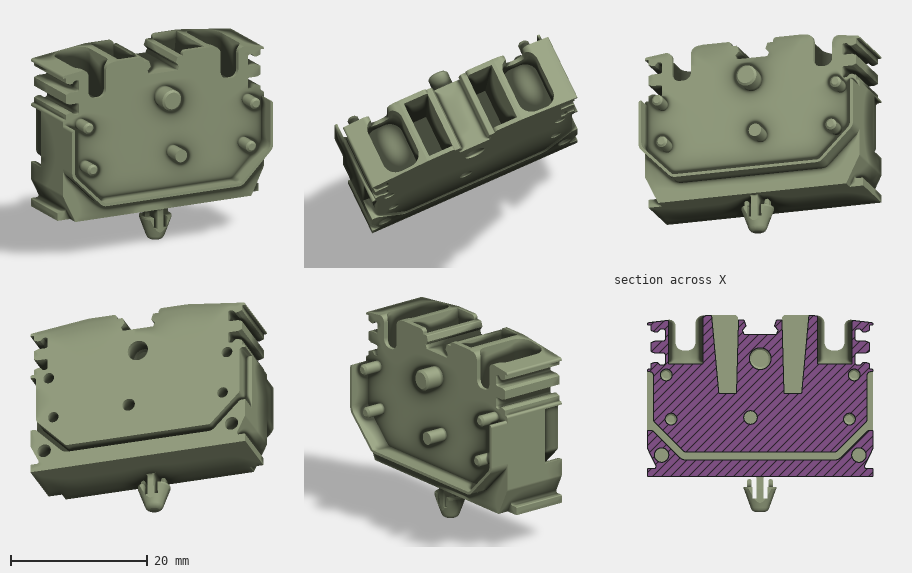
import cadquery as cq
import math

half_length = 16.6
housing_width = 10.23
overall_width = 13.2
housing_top = 23.7
mating_reach = overall_width - housing_width
socket_depth = 3.2

taper_start_y = 7.65
end_height = 22.6
lip_round = 0.33
taper_slope = (housing_top - end_height) / (half_length - taper_start_y)

rib_y = 16.07
rib_tip_y = 15.47
groove_floor_y = 13.95
hook_inner_y = 14.65
hook_outer_y = 15.07
ribs_mid_z = 19.02
rib_half = 0.65
rib_root_half = 0.9
hook_face = 2.42
hook_tip = 2.2
hook_root = 2.62
lip_gap = 3.2
groove_round = 0.3

slot_floor_z = 20.9
slot_floor_y = 2.35
slot_undercut_y = 2.6
slot_undercut_z = 21.5
slot_throat_y = 2.05
slot_throat_z = 22.1
slot_ledge_z = 23.0
slot_top_y = 3.22
slot_top_round = 0.53
slot_ledge_round = 0.15

waist_z = 4.2
waist_round = 0.65
flank_slope = 0.49
flange_height = 1.23
flange_root_round = 0.3
flange_edge_round = 0.13
beyond_flange_top = 2.0
flange_width = 8.5

rim_top = 15.07
rim_bottom = 2.72
rim_corner_z = 7.85
rim_thickness = 0.43
rim_edge_round = 0.4
rim_inner_side_round = 1.65
rim_inner_bottom_round = 0.65
rim_round = 1.45
channel_top = 15.37
channel_inner_y = 15.7
channel_inner_bottom = 3.6
channel_inner_corner_z = 8.17
channel_outer_bottom = 2.5
channel_end_z = 6.85
channel_end_y = 15.8
channel_round = 0.65
channel_end_round = 0.45

centre_peg = (0.0, 17.33, 1.55, 0.3)
upper_peg = (13.78, 14.95, 0.83, 0.3)
lower_peg = (13.08, 8.45, 0.83, 0.3)
plain_peg = (1.43, 8.7, 0.95, 0.0)
base_hole_y = 14.48
base_hole_z = 3.2
base_hole_radius = 1.03

funnel_y = 10.92
funnel_size_y = 5.48
funnel_x = (0.4, 9.65)
funnel_floor_z = 16.6
funnel_round = 2.0
notch_half = 1.45
notch_floor_z = 18.5
notch_floor_round = 1.2
notch_mouth_outer_round = 0.93
notch_mouth_inner_round = 1.13

pocket_x = (0.63, 9.45)
pocket_outer_y = 7.1
pocket_floor_outer_y = 6.05
pocket_floor_inner_y = 3.52
pocket_floor_z = 12.3

foot_x = 7.65
foot_width = 3.45
foot_tip_width = 3.15
foot_length = 5.18
stem_half = 0.5
stem_root_round = 0.3
barb_top_z = -1.53
barb_rim_z = -1.8
barb_radius = 2.4
barb_low_z = -4.6
barb_low_radius = 1.35
barb_tip_radius = 0.75
barb_tip_round = 0.83
arm_gap_outer_y = 1.1
arm_gap_floor_z = -3.25
finger_y = 1.55
finger_thickness = 0.65
finger_round = 0.315
finger_width = 0.93
finger_top_z = -0.35

SIDES = (1, -1)
over = 1.65


def rounded_corner(before, corner, after):
    """Start, middle and end of the arc that rounds a (y, z, radius) corner."""
    y, z, radius = corner
    to_before = math.hypot(before[0] - y, before[1] - z)
    to_after = math.hypot(after[0] - y, after[1] - z)
    ay, az = (before[0] - y) / to_before, (before[1] - z) / to_before
    by, bz = (after[0] - y) / to_after, (after[1] - z) / to_after
    half_angle = math.acos(ay * by + az * bz) / 2
    setback = radius / math.tan(half_angle)
    bisector = math.hypot(ay + by, az + bz)
    depth = (radius / math.sin(half_angle) - radius) / bisector
    start = (y + ay * setback, z + az * setback)
    middle = (y + (ay + by) * depth, z + (az + bz) * depth)
    end = (y + by * setback, z + bz * setback)
    return start, middle, end


def prism(points, x_start, x_end):
    """Extrude a YZ outline along X; a third number in a point is its corner radius."""
    outline = cq.Workplane("YZ", origin=(x_start, 0, 0))
    for index, point in enumerate(points):
        if len(point) == 3:
            after = points[(index + 1) % len(points)]
            start, middle, end = rounded_corner(points[index - 1], point, after)
            outline = outline.lineTo(*start) if index else outline.moveTo(*start)
            outline = outline.threePointArc(middle, end)
        else:
            outline = outline.lineTo(*point) if index else outline.moveTo(*point)
    return outline.close().extrude(x_end - x_start)


def mirrored(half):
    """Complete an outline given for Y > 0 with its mirror image."""
    return half + [(-point[0], *point[1:]) for point in reversed(half)]


def box(x_range, y_range, z_range):
    sizes = [end - start for start, end in (x_range, y_range, z_range)]
    corner = (x_range[0], y_range[0], z_range[0])
    return cq.Workplane("XY").box(*sizes, centered=False).translate(corner)


def top_height(y):
    """Height of the tapered part of the top face."""
    return housing_top - (abs(y) - taper_start_y) * taper_slope


def flank_y(z):
    """Half length of the block on the slope below the waist."""
    return half_length - (waist_z - z) * flank_slope


def ribbed_end():
    """Half outline of one ribbed end, from the upper lip down to the lower lip."""
    hook = [
        (rib_y, lip_gap),
        (rib_y, hook_face),
        (rib_tip_y, hook_tip),
        (hook_outer_y, hook_tip),
        (hook_inner_y, hook_root),
        (groove_floor_y, hook_root, groove_round),
        (groove_floor_y, rib_root_half, groove_round),
        (rib_tip_y, rib_root_half),
        (rib_y, rib_half),
    ]
    mirrored_hook = [(y, -z, *rounding) for y, z, *rounding in reversed(hook)]
    upper_lip = [(half_length, lip_gap)]
    lower_lip = [(half_length, -lip_gap, lip_round)]
    outline = upper_lip + hook + mirrored_hook + lower_lip
    return [(y, ribs_mid_z + z, *rounding) for y, z, *rounding in outline]


def main_block():
    slot_and_top = [
        (slot_floor_y, slot_floor_z),
        (slot_undercut_y, slot_undercut_z),
        (slot_throat_y, slot_throat_z),
        (slot_floor_y, slot_ledge_z, slot_ledge_round),
        (slot_top_y, slot_ledge_z),
        (slot_top_y, housing_top, slot_top_round),
        (taper_start_y, housing_top),
        (half_length, end_height, lip_round),
    ]
    base = [
        (half_length, waist_z, waist_round),
        (flank_y(flange_height), flange_height, flange_root_round),
        (half_length, flange_height, flange_edge_round),
        (half_length, 0),
    ]
    block = prism(mirrored(slot_and_top + ribbed_end() + base), 0, housing_width)
    for side in SIDES:
        beyond_flange = [
            (side * flank_y(0), 0),
            (side * flank_y(beyond_flange_top), beyond_flange_top),
            (side * (half_length + over), beyond_flange_top),
            (side * (half_length + over), -over),
            (side * flank_y(0), -over),
        ]
        block = block.cut(prism(beyond_flange, flange_width, housing_width))
    return block


def rim_outline(inset, top, side_round, bottom_round):
    """U-shaped wall outline, moved inwards by the inset."""
    corner_shift = inset * math.tan(math.pi / 8)
    bottom_y = half_length - (rim_corner_z - rim_bottom)
    return mirrored([
        (half_length - inset, top),
        (half_length - inset, rim_corner_z + corner_shift, side_round),
        (bottom_y - corner_shift, rim_bottom + inset, bottom_round),
    ])


def mating_rim():
    outer = prism(rim_outline(0, rim_top, rim_round, rim_round), housing_width, overall_width)
    outer = outer.edges("|X and >Z").fillet(rim_edge_round)
    hollow = rim_outline(rim_thickness, rim_top + over, rim_inner_side_round, rim_inner_bottom_round)
    return outer.cut(prism(hollow, housing_width, overall_width))


def rim_channel():
    """U-shaped channel on the -X side, open at both ends of the housing."""
    inner_y = channel_inner_y - (channel_inner_corner_z - channel_inner_bottom)
    outer_y = channel_end_y - (channel_end_z - channel_outer_bottom)
    return prism(mirrored([
        (inner_y, channel_inner_bottom, channel_round),
        (channel_inner_y, channel_inner_corner_z, channel_round),
        (channel_inner_y, channel_top, channel_end_round),
        (half_length + over, channel_top),
        (half_length + over, channel_end_z),
        (channel_end_y, channel_end_z, channel_round),
        (outer_y, channel_outer_bottom, rim_round),
    ]), 0, socket_depth)


def peg(y, z, radius, chamfer, x_start, length):
    """Round peg along X, optionally with a chamfered tip; also the shape of its socket."""
    shape = cq.Workplane("YZ", origin=(x_start, y, z)).circle(radius).extrude(length)
    if chamfer:
        shape = shape.faces(">X").edges().chamfer(chamfer)
    return shape


def peg_places():
    places = [centre_peg, plain_peg]
    for y, z, radius, chamfer in (upper_peg, lower_peg):
        places += [(side * y, z, radius, chamfer) for side in SIDES]
    return places


def wire_funnel(side):
    x_length = funnel_x[1] - funnel_x[0]
    shape = (
        cq.Workplane("XY", origin=(sum(funnel_x) / 2, side * funnel_y, funnel_floor_z))
        .rect(x_length, funnel_size_y)
        .extrude(housing_top - funnel_floor_z + over)
        .edges("|Z").fillet(funnel_round)
    )
    inner, outer = funnel_y - notch_half, funnel_y + notch_half
    mouth_inner, mouth_outer = funnel_y - funnel_size_y / 2, funnel_y + funnel_size_y / 2
    notch = [
        (mouth_outer, housing_top + over),
        (mouth_outer, top_height(mouth_outer)),
        (outer, top_height(outer), notch_mouth_outer_round),
        (outer, notch_floor_z, notch_floor_round),
        (inner, notch_floor_z, notch_floor_round),
        (inner, top_height(inner), notch_mouth_inner_round),
        (mouth_inner, top_height(mouth_inner)),
        (mouth_inner, housing_top + over),
    ]
    notch = [(side * point[0], *point[1:]) for point in notch]
    return shape.union(prism(notch, funnel_x[1] - funnel_round, housing_width))


def test_pocket(side):
    """Tapered pocket whose inner wall is level with the step of the label slot."""
    outline = [
        (side * slot_top_y, slot_ledge_z),
        (side * slot_top_y, housing_top),
        (side * pocket_outer_y, housing_top),
        (side * pocket_floor_outer_y, pocket_floor_z),
        (side * pocket_floor_inner_y, pocket_floor_z),
    ]
    return prism(outline, *pocket_x)


def make_housing():
    housing = main_block().cut(rim_channel()).union(mating_rim())
    for y, z, radius, chamfer in peg_places():
        housing = housing.cut(peg(y, z, radius, chamfer, 0, socket_depth))
        housing = housing.union(peg(y, z, radius, chamfer, housing_width, mating_reach))
    for side in SIDES:
        housing = housing.cut(peg(side * base_hole_y, base_hole_z, base_hole_radius, 0, 0, socket_depth))
        housing = housing.cut(wire_funnel(side))
        housing = housing.cut(test_pocket(side))
    return housing


def foot_sides():
    """Slab that trims the foot along X: straight at the top, narrowing towards the tip."""
    half_outline = [
        (foot_width / 2, 0),
        (foot_width / 2, barb_rim_z),
        (foot_tip_width / 2, -foot_length),
    ]
    return (
        cq.Workplane("XZ", origin=(foot_x, 0, 0))
        .polyline(mirrored(half_outline))
        .close()
        .extrude(barb_radius, both=True)
    )


def make_foot():
    x_range = (foot_x - foot_width / 2, foot_x + foot_width / 2)
    barb = (
        cq.Workplane("XZ", origin=(foot_x, 0, 0))
        .moveTo(0, barb_top_z)
        .lineTo(barb_radius, barb_top_z)
        .lineTo(barb_radius, barb_rim_z)
        .lineTo(barb_low_radius, barb_low_z)
        .radiusArc((barb_tip_radius, -foot_length), barb_tip_round)
        .lineTo(0, -foot_length)
        .close()
        .revolve(360, (0, 0, 0), (0, 1, 0))
    )
    foot = barb.cut(box(x_range, (-arm_gap_outer_y, arm_gap_outer_y), (arm_gap_floor_z, 0)))
    stem = [
        (finger_y, 0),
        (stem_half, 0, stem_root_round),
        (stem_half, arm_gap_floor_z),
    ]
    foot = foot.union(prism(mirrored(stem), *x_range)).intersect(foot_sides())
    for side in SIDES:
        centre = side * finger_y
        finger = box((foot_x - finger_width / 2, foot_x + finger_width / 2),
                     (centre - finger_thickness / 2, centre + finger_thickness / 2),
                     (barb_rim_z, finger_top_z))
        foot = foot.union(finger.edges("|X and >Z").fillet(finger_round))
    return foot


housing = make_housing()
foot = make_foot()

result = cq.Compound.makeCompound([housing.val(), foot.val()])